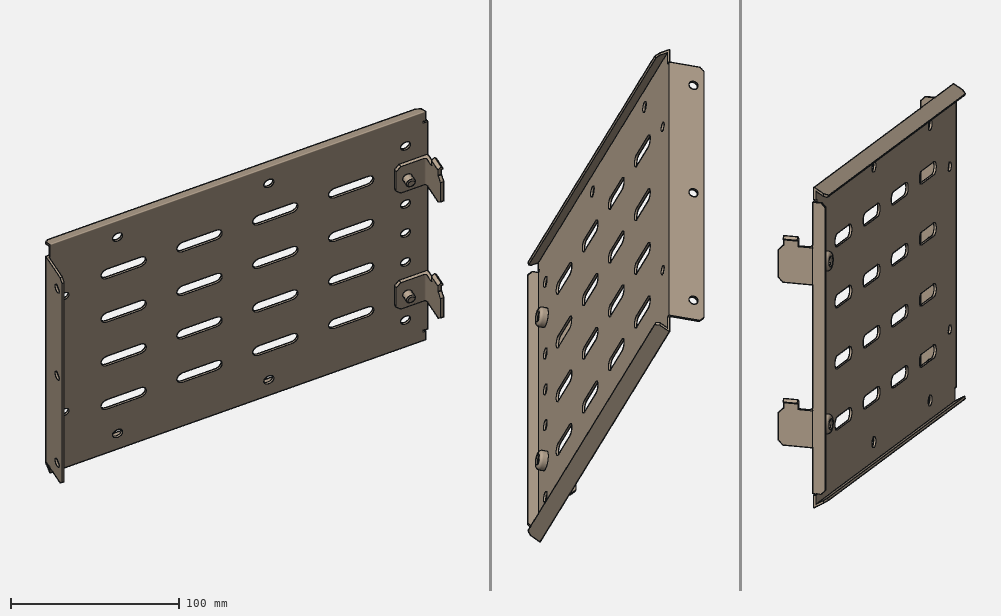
import cadquery as cq
import math

SHEET = 1.5
PANEL_LENGTH = 252.0
SIDE_FLANGE_HALF_HEIGHT = 88.6
SIDE_FLANGE_END_X = 22.0
BACK_FLANGE_HALF_HEIGHT = 89.7
BACK_FLANGE_END_X = -6.3
FLANGE_CHAMFER = 2.5

PANEL_HEIGHT = 197.3
PANEL_HALF_HEIGHT = PANEL_HEIGHT / 2
LIP_SLOPE = math.radians(30)
LIP_LENGTH = 7.5
LIP_BEND_RADIUS = 0.5
LIP_INSET_SIDE = 2.3
LIP_INSET_BACK = 1.3
LIP_CHAMFER = 2.5
RELIEF_HEIGHT = 1.3
RELIEF_DEPTH = 1.8

GRID = 25.0
MOUNT_HOLE_DIAMETER = 6.5
MOUNT_ROW_FROM_BACK = 14.7
SMALL_HOLE_DIAMETER = 5.5
SMALL_HOLE_Y = 12.0
SIDE_HOLE_X = 15.5
SIDE_HOLE_PITCH = 3 * GRID
MOUNT_HOLE_STEPS = (-3, -1, 0, 1, 3)
EDGE_HOLE_Y = (46.9, 147.0)
EDGE_HOLE_Z = 84.8
SLOT_LENGTH = 30.0
SLOT_HEIGHT = 8.0
SLOT_COUNT = 4
SLOT_FIRST_Y = 51.0
SLOT_PITCH_Y = 2 * GRID
SLOT_PITCH_Z = 1.5 * GRID

SCREW_Z = 2 * GRID
SCREW_Y = PANEL_LENGTH - MOUNT_ROW_FROM_BACK
SHANK_DIAMETER = 6.0
SHANK_END_X = 9.4
SHANK_CHAMFER = 0.8
HEAD_DIAMETER = 12.0
HEAD_HEIGHT = 4.8
HEAD_FILLET = 2.0
SOCKET_WIDTH = 4.5
SOCKET_DEPTH = 2.5
COUNTERSINK_DIAMETER = 6.5
COUNTERSINK_DEPTH = 0.8

BRACKET_THICKNESS = 2.3
BRACKET_LEG = 22.0
BRACKET_END_X = 23.3
BRACKET_HALF_HEIGHT = 11.5
BRACKET_CHAMFER = 3.0
BRACKET_INNER_RADIUS = 1.3
TONGUE_X = (11.0, 19.8)
TONGUE_BEND = 16.0
TONGUE_TILT = math.radians(55)
TONGUE_PROTRUSION = 1.3


def box_between(x0, x1, y0, y1, z0, z1):
    return cq.Workplane("XY").box(x1 - x0, y1 - y0, z1 - z0, centered=False).translate((x0, y0, z0))


def cylinder_x(diameter, x0, x1, y, z):
    return cq.Workplane("YZ", origin=(x0, y, z)).circle(diameter / 2).extrude(x1 - x0)


def make_web():
    """Flat plate with a sloping lip at the top and bottom, and both lips' corners cut."""
    run = (-math.cos(LIP_SLOPE), -math.sin(LIP_SLOPE))
    rise = (-math.sin(LIP_SLOPE), math.cos(LIP_SLOPE))
    bend_x = SHEET - LIP_BEND_RADIUS
    bend_z = PANEL_HALF_HEIGHT - LIP_BEND_RADIUS
    bend_end = (bend_x + LIP_BEND_RADIUS * rise[0], bend_z + LIP_BEND_RADIUS * rise[1])
    middle_angle = (math.pi / 2 + LIP_SLOPE) / 2
    bend_middle = (
        bend_x + LIP_BEND_RADIUS * math.cos(middle_angle),
        bend_z + LIP_BEND_RADIUS * math.sin(middle_angle),
    )
    corner_z = bend_end[1] - bend_end[0] * math.tan(LIP_SLOPE) - SHEET / math.cos(LIP_SLOPE)
    inner_tip = (LIP_LENGTH * run[0], corner_z + LIP_LENGTH * run[1])
    outer_tip = (inner_tip[0] + SHEET * rise[0], inner_tip[1] + SHEET * rise[1])
    half = (
        cq.Workplane("XZ", origin=(0, LIP_INSET_SIDE, 0))
        .moveTo(0, 0)
        .lineTo(SHEET, 0)
        .lineTo(SHEET, bend_z)
        .threePointArc(bend_middle, bend_end)
        .lineTo(*outer_tip)
        .lineTo(*inner_tip)
        .lineTo(0, corner_z)
        .close()
        .extrude(-(PANEL_LENGTH - LIP_INSET_SIDE - LIP_INSET_BACK))
    )
    tip_x = outer_tip[0]
    cut_x = tip_x + LIP_CHAMFER
    start_y = LIP_INSET_SIDE
    end_y = PANEL_LENGTH - LIP_INSET_BACK
    outline = (
        cq.Workplane("XY", origin=(0, 0, -PANEL_HALF_HEIGHT))
        .moveTo(SHEET, start_y)
        .lineTo(cut_x, start_y)
        .lineTo(tip_x, start_y + LIP_CHAMFER)
        .lineTo(tip_x, end_y - LIP_CHAMFER)
        .lineTo(cut_x, end_y)
        .lineTo(SHEET, end_y)
        .close()
        .extrude(PANEL_HEIGHT)
    )
    return half.union(half.mirror("XY")).intersect(outline)


def make_side_flange():
    half = SIDE_FLANGE_HALF_HEIGHT
    flange = box_between(0, SIDE_FLANGE_END_X, 0, SHEET, -half, half)
    flange = flange.edges("|Y and >X").chamfer(FLANGE_CHAMFER)
    joint = box_between(0, SHEET, 0, LIP_INSET_SIDE, -half, half)
    holes = (
        cq.Workplane("XZ")
        .pushPoints([(SIDE_HOLE_X, row * SIDE_HOLE_PITCH) for row in (-1, 0, 1)])
        .circle(SMALL_HOLE_DIAMETER / 2)
        .extrude(-SHEET)
    )
    return flange.union(joint).cut(holes)


def make_back_flange():
    half = BACK_FLANGE_HALF_HEIGHT
    flange = box_between(BACK_FLANGE_END_X, SHEET, PANEL_LENGTH - SHEET, PANEL_LENGTH, -half, half)
    return flange.edges("|Y and <X").chamfer(FLANGE_CHAMFER)


def panel_cutters():
    thickness = cq.Workplane("YZ")
    mount_points = [(SCREW_Y, step * GRID) for step in MOUNT_HOLE_STEPS]
    edge_points = [(y, side * EDGE_HOLE_Z) for y in EDGE_HOLE_Y for side in (-1, 1)]
    large = thickness.pushPoints(mount_points + edge_points).circle(MOUNT_HOLE_DIAMETER / 2).extrude(SHEET)
    small = (
        thickness.pushPoints([(SMALL_HOLE_Y, side * SCREW_Z) for side in (-1, 1)])
        .circle(SMALL_HOLE_DIAMETER / 2)
        .extrude(SHEET)
    )
    middle = (SLOT_COUNT - 1) / 2
    slot_points = [
        (SLOT_FIRST_Y + column * SLOT_PITCH_Y, (row - middle) * SLOT_PITCH_Z)
        for column in range(SLOT_COUNT)
        for row in range(SLOT_COUNT)
    ]
    slots = thickness.pushPoints(slot_points).slot2D(SLOT_LENGTH, SLOT_HEIGHT).extrude(SHEET)
    return [large, small, slots]


def make_panel():
    panel = make_web().union(make_side_flange()).union(make_back_flange())
    for cutter in panel_cutters():
        panel = panel.cut(cutter)
    relief_y = PANEL_LENGTH - LIP_INSET_BACK - RELIEF_DEPTH
    relief_z = BACK_FLANGE_HALF_HEIGHT
    relief = box_between(0, SHEET, relief_y, PANEL_LENGTH, relief_z, relief_z + RELIEF_HEIGHT)
    panel = panel.cut(relief).cut(relief.mirror("XY"))
    for side in (-1, 1):
        panel = panel.cut(cylinder_x(SHANK_DIAMETER, 0, SHEET, SCREW_Y, side * SCREW_Z))
    return panel


def make_tongue(z):
    """Tab on the bracket's top edge, leaning outward (+Y)."""
    inner_y = PANEL_LENGTH - BRACKET_THICKNESS
    lean = (math.sin(TONGUE_TILT), math.cos(TONGUE_TILT))
    across = (math.cos(TONGUE_TILT), -math.sin(TONGUE_TILT))
    inner_bend = (inner_y, z + TONGUE_BEND)
    bend_drop = BRACKET_THICKNESS * math.tan(TONGUE_TILT / 2)
    outer_bend = (PANEL_LENGTH, inner_bend[1] - bend_drop)
    length = (TONGUE_PROTRUSION + BRACKET_THICKNESS * (1 - across[0])) / lean[0]
    inner_tip = (inner_bend[0] + length * lean[0], inner_bend[1] + length * lean[1])
    outer_tip = (
        inner_tip[0] + BRACKET_THICKNESS * across[0],
        inner_tip[1] + BRACKET_THICKNESS * across[1],
    )
    root_z = z + BRACKET_HALF_HEIGHT - BRACKET_CHAMFER
    return (
        cq.Workplane("YZ", origin=(TONGUE_X[0], 0, 0))
        .polyline([(inner_y, root_z), (PANEL_LENGTH, root_z), outer_bend, outer_tip, inner_tip, inner_bend])
        .close()
        .extrude(TONGUE_X[1] - TONGUE_X[0])
    )


def make_bracket(z):
    low = z - BRACKET_HALF_HEIGHT
    high = z + BRACKET_HALF_HEIGHT
    leg_end_y = PANEL_LENGTH - BRACKET_LEG
    leg_back_x = SHEET + BRACKET_THICKNESS
    leg = box_between(SHEET, leg_back_x, leg_end_y, PANEL_LENGTH, low, high)
    leg = leg.edges("|X and <Y").chamfer(BRACKET_CHAMFER)
    flange = box_between(SHEET, BRACKET_END_X, PANEL_LENGTH - BRACKET_THICKNESS, PANEL_LENGTH, low, high)
    flange = flange.edges("|Y and >X").chamfer(BRACKET_CHAMFER)
    bracket = leg.union(flange)
    inner_corner = cq.selectors.NearestToPointSelector((leg_back_x, PANEL_LENGTH - BRACKET_THICKNESS, z))
    bracket = bracket.edges("|Z").edges(inner_corner).fillet(BRACKET_INNER_RADIUS)
    bracket = bracket.union(make_tongue(z))
    return bracket.cut(cylinder_x(SHANK_DIAMETER, SHEET, leg_back_x, SCREW_Y, z))


def make_screw(z):
    head = cylinder_x(HEAD_DIAMETER, -HEAD_HEIGHT, 0, SCREW_Y, z).edges("<X").fillet(HEAD_FILLET)
    shank = cylinder_x(SHANK_DIAMETER, 0, SHANK_END_X, SCREW_Y, z).edges(">X").chamfer(SHANK_CHAMFER)
    socket = (
        cq.Workplane("YZ", origin=(-HEAD_HEIGHT, SCREW_Y, z))
        .transformed(rotate=(0, 0, 90))
        .polygon(6, SOCKET_WIDTH / math.cos(math.pi / 6))
        .extrude(SOCKET_DEPTH)
    )
    countersink = cq.Workplane(
        cq.Solid.makeCone(
            COUNTERSINK_DIAMETER / 2,
            COUNTERSINK_DIAMETER / 2 - COUNTERSINK_DEPTH,
            COUNTERSINK_DEPTH,
            pnt=cq.Vector(-HEAD_HEIGHT, SCREW_Y, z),
            dir=cq.Vector(1, 0, 0),
        )
    )
    return head.union(shank).cut(socket).cut(countersink)


panel = make_panel()
brackets = [make_bracket(side * SCREW_Z) for side in (-1, 1)]
screws = [make_screw(side * SCREW_Z) for side in (-1, 1)]

result = cq.Compound.makeCompound([body.val() for body in [panel, *brackets, *screws]])